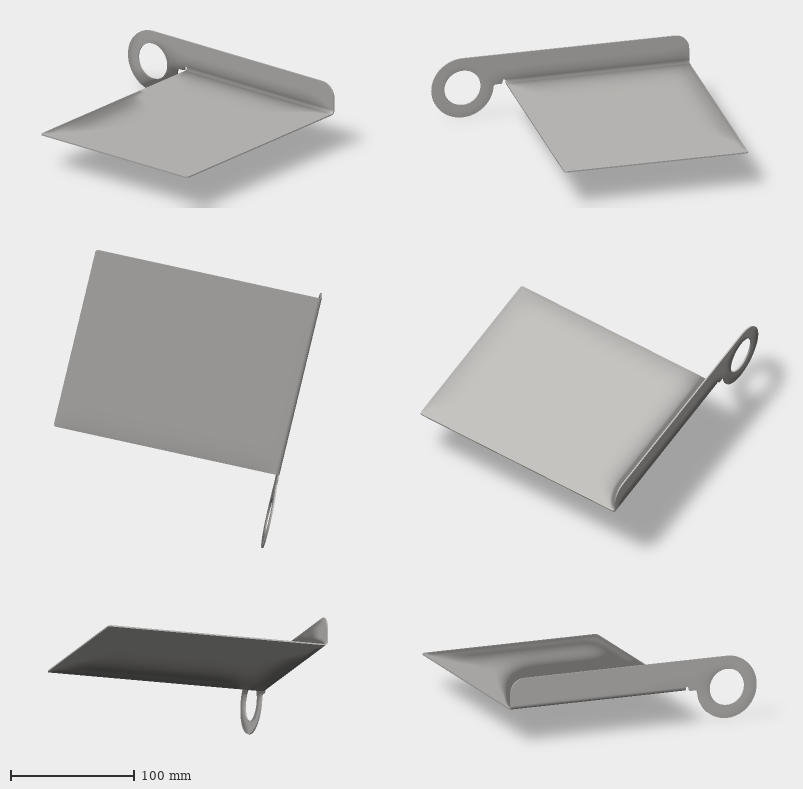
import cadquery as cq

length = 216.0
depth = 188.0
ring_diameter = 52.0
hole_diameter = 30.5

thickness = 1.17
bend_inner_radius = 2.5
plate_length = 154.0
relief_width = 2.4

tip_radius = 12.0
neck_fillet_radius = 2.05
tab_corner_radius = 1.5
plate_corner_radius = 2.0

ring_radius = ring_diameter / 2
bend_outer_radius = bend_inner_radius + thickness
relief_radius = relief_width / 2
right_x = length - ring_radius
plate_left_x = right_x - plate_length
relief_left_x = plate_left_x - relief_width
relief_center_x = plate_left_x - relief_radius


def make_wall():
    """Upright strip ending in a ring; beside the ring a short tab reaches down to z = 0."""
    ring = cq.Workplane("XZ").circle(ring_radius).extrude(thickness)
    strip = (
        cq.Workplane("XZ")
        .lineTo(relief_left_x, 0)
        .lineTo(relief_left_x, bend_outer_radius)
        .lineTo(right_x, bend_outer_radius)
        .lineTo(right_x, ring_radius)
        .lineTo(0, ring_radius)
        .close()
        .extrude(thickness)
    )
    tip = cq.selectors.NearestToPointSelector((right_x, -thickness / 2, ring_radius))
    tab_corner = cq.selectors.NearestToPointSelector((relief_left_x, -thickness / 2, 0))
    neck = cq.selectors.NearestToPointSelector((ring_radius, -thickness / 2, 0))
    strip = strip.edges(tip).fillet(tip_radius)
    strip = strip.edges(tab_corner).fillet(tab_corner_radius)
    wall = ring.union(strip).edges(neck).fillet(neck_fillet_radius)
    hole = cq.Workplane("XZ").circle(hole_diameter / 2).extrude(thickness)
    return wall.cut(hole)


def make_bend():
    """Quarter-round bend from the wall to the plate, its left end following the round relief top."""
    bend = (
        cq.Workplane("YZ", origin=(relief_left_x, 0, 0))
        .moveTo(0, bend_outer_radius)
        .radiusArc((-bend_outer_radius, 0), bend_outer_radius)
        .lineTo(-bend_outer_radius, thickness)
        .radiusArc((-thickness, bend_outer_radius), -bend_inner_radius)
        .close()
        .extrude(plate_length + relief_width)
    )
    relief = (
        cq.Workplane("XZ")
        .moveTo(relief_left_x, 0)
        .lineTo(plate_left_x, 0)
        .lineTo(plate_left_x, bend_outer_radius - relief_radius)
        .threePointArc(
            (relief_center_x, bend_outer_radius),
            (relief_left_x, bend_outer_radius - relief_radius),
        )
        .close()
        .extrude(bend_outer_radius)
    )
    return bend.cut(relief)


def make_plate():
    """Horizontal plate with its two free corners rounded."""
    plate = cq.Workplane("XY").box(
        plate_length, depth - bend_outer_radius, thickness, centered=False
    )
    plate = plate.edges("|Z and <Y").fillet(plate_corner_radius)
    return plate.translate((plate_left_x, -depth, 0))


result = make_wall().union(make_bend()).union(make_plate())